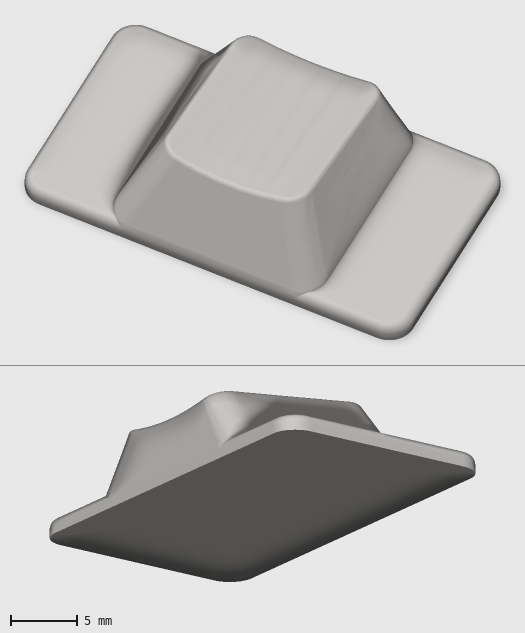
import cadquery as cq
import math

length = 32.45
depth = 18.16
corner_radius = 2.0
half_depth = depth / 2

step_height = 1.4
step_edge_radius = 0.7

blend_bottom = step_height - step_edge_radius
blend_top = step_height
skirt_height = (blend_bottom + blend_top) / 2
top_tilt = 7.0
outline_height = 7.1
outline_half_width = 5.93
outline_front_y = -5.39
outline_back_y = 8.7
outline_corner_radius = 1.7

dish_radius = 24.4
dish_floor = 6.28
dish_reach = 40.0
top_edge_radius = 0.4


def rounded_rectangle(x_size, y_size, radius):
    return cq.Sketch().rect(x_size, y_size).vertices().fillet(radius)


def outline_z(y):
    """Height of the tilted upper outline at a given Y."""
    return outline_height - y * math.tan(math.radians(top_tilt))


def lower_section(height, rise):
    """Cap outline at a height, moved in as far as the tapered walls lean over the given rise."""
    side_inset = rise * (half_depth - outline_half_width) / (outline_height - skirt_height)
    front_inset = rise * (half_depth + outline_front_y) / (outline_z(outline_front_y) - skirt_height)
    back_inset = rise * (half_depth - outline_back_y) / (outline_z(outline_back_y) - skirt_height)
    outline = rounded_rectangle(depth - 2 * side_inset, depth - front_inset - back_inset, corner_radius)
    return outline.moved(cq.Location(cq.Vector(0, (front_inset - back_inset) / 2, height)))


def upper_outline():
    center_y = (outline_front_y + outline_back_y) / 2
    slant_length = (outline_back_y - outline_front_y) / math.cos(math.radians(top_tilt))
    outline = rounded_rectangle(2 * outline_half_width, slant_length, outline_corner_radius)
    center = cq.Vector(0, center_y, outline_z(center_y))
    return outline.moved(cq.Location(center, cq.Vector(1, 0, 0), -top_tilt))


def make_walls():
    """Vertical skirt, a short parabolic blend, and straight tapered walls."""
    blend_rise = blend_top - skirt_height
    bottom = lower_section(blend_bottom, 0)
    middle = lower_section(skirt_height, blend_rise / 4)
    top = lower_section(blend_top, blend_rise)
    skirt = cq.Workplane().placeSketch(lower_section(0, 0)).extrude(blend_bottom)
    blend = cq.Workplane().placeSketch(bottom, middle, top).loft()
    taper = cq.Workplane().placeSketch(top, upper_outline()).loft(ruled=True)
    return skirt.union(blend).union(taper)


def make_dish_cutter():
    axis_height = dish_floor + dish_radius / math.cos(math.radians(top_tilt))
    cutter = cq.Workplane("XZ").circle(dish_radius).extrude(dish_reach / 2, both=True)
    return cutter.rotate((0, 0, 0), (1, 0, 0), -top_tilt).translate((0, 0, axis_height))


def make_cap():
    cap = make_walls().cut(make_dish_cutter())
    dish_face = cap.faces("%CYLINDER").faces(">Z")
    return dish_face.edges().fillet(top_edge_radius)


def make_steps(cap):
    """Left and right steps, cut from one plate by the cap that stands between them."""
    plate = cq.Workplane().placeSketch(rounded_rectangle(length, depth, corner_radius)).extrude(step_height)
    plate = plate.faces(">Z").edges().fillet(step_edge_radius)
    return plate.cut(cap).solids()


cap = make_cap()
steps = make_steps(cap)

result = cq.Compound.makeCompound([cap.val(), *steps.vals()])